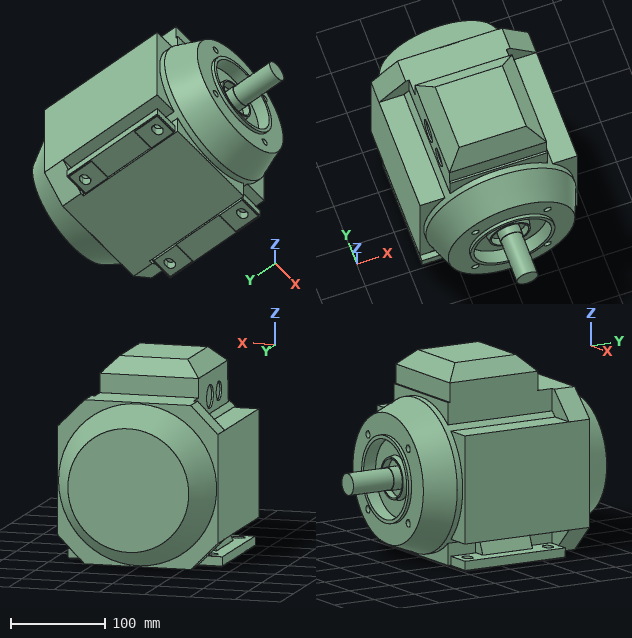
import cadquery as cq


housing_width = 177.0
housing_half = housing_width / 2
housing_length = 155.5
corner_chamfer = 29.8
corner_edge = housing_half - corner_chamfer
notch_length = 129.8
spine_half = 54.5

box_front = 2.3
box_length = 109.8
box_top = 126.5
box_chamfer = 17.0

cable_entries = [(25.3, 69.2), (20.3, 35.8)]
entry_height = 82.5
entry_depth = 2.0

fan_cover_front_radius = 87.3
fan_cover_back_radius = 66.7
back_end = 190.3

shield_radius = 84.3
shield_rim_length = 6.8
shield_face_radius = 71.2
shield_face = -40.8
spigot_radius = 95.0 / 2
spigot_face = -44.5
bore_radius = 87.0 / 2
bore_floor = -29.5

flange_hole_diameter = 8.0
flange_hole_offset = 40.5
flange_hole_depth = 11.3

hub_base_radius = 24.2
hub_face_radius = 22.8
hub_face = -36.0
hub_bore_radius = 42.0 / 2
hub_bore_floor = -28.0

total_length = 281.5
shaft_end = back_end - total_length
shaft_radius = 24.0 / 2
shoulder_radius = 25.0 / 2
shaft_end_length = 50.0

foot_inner = 56.3
foot_outer = 85.3
foot_length = 124.7
foot_front = 2.5
foot_back = foot_front + foot_length
foot_top = -78.3
foot_bottom = -housing_half
pad_bottom = -89.5
pad_length = 31.2
pad_inset = 1.5
slot_width = 9.9
slot_length = 13.5
slot_x = 70.0
slot_inset = 12.5

gusset_front = 34.0
gusset_back = 96.0
gusset_top_x = 61.0
gusset_foot_x = 69.8


def block(x_range, y_range, z_range):
    """Box spanning the three given ranges."""
    (x0, x1), (y0, y1), (z0, z1) = x_range, y_range, z_range
    return cq.Workplane("XY").box(x1 - x0, y1 - y0, z1 - z0, centered=False).translate((x0, y0, z0))


def both_sides(feature):
    """Feature together with its mirror image across the YZ plane."""
    return feature.union(feature.mirror("YZ"))


def make_housing():
    """Square housing with chamfered corners, notched along its front part."""
    housing = block((-housing_half, housing_half), (0, housing_length), (-housing_half, housing_half))
    housing = housing.edges("|Y").chamfer(corner_chamfer)
    notch_centers = [
        (side * (spine_half + housing_half / 2), level * (corner_edge + housing_half / 2))
        for side in (-1, 1)
        for level in (-1, 1)
    ]
    notches = (
        cq.Workplane("XZ")
        .pushPoints(notch_centers)
        .rect(housing_half, housing_half)
        .extrude(-notch_length)
    )
    return housing.cut(notches)


def make_terminal_box():
    """Box rising from the housing, with its four top edges chamfered."""
    box = block((-spine_half, spine_half), (box_front, box_front + box_length), (0, box_top))
    return box.faces(">Z").chamfer(box_chamfer)


def make_cable_entries():
    """Cutters for the shallow round recesses in the -X wall of the terminal box."""
    cutters = cq.Workplane("YZ")
    for diameter, y in cable_entries:
        wall = cq.Workplane("YZ", origin=(-spine_half, y, entry_height))
        cutters = cutters.add(wall.circle(diameter / 2).extrude(entry_depth))
    return cutters.combine()


def revolve_about_shaft(profile):
    """Revolve a profile of (radius, Y) points about the shaft axis."""
    return cq.Workplane("XY").polyline(profile).close().revolve(360, (0, 0, 0), (0, 1, 0))


def make_fan_cover():
    """Tapered cover behind the housing."""
    return revolve_about_shaft([
        (0, housing_length),
        (fan_cover_front_radius, housing_length),
        (fan_cover_back_radius, back_end),
        (0, back_end),
    ])


def make_drive_end():
    """Front shield with its spigot and bore, bearing hub and stepped shaft.

    The shield rim runs back through the housing and rounds the inner corners of its notches.
    """
    shoulder = shaft_end + shaft_end_length
    return revolve_about_shaft([
        (0, shaft_end),
        (shaft_radius, shaft_end),
        (shaft_radius, shoulder),
        (shoulder_radius, shoulder),
        (shoulder_radius, hub_bore_floor),
        (hub_bore_radius, hub_bore_floor),
        (hub_bore_radius, hub_face),
        (hub_face_radius, hub_face),
        (hub_base_radius, bore_floor),
        (bore_radius, bore_floor),
        (bore_radius, spigot_face),
        (spigot_radius, spigot_face),
        (spigot_radius, shield_face),
        (shield_face_radius, shield_face),
        (shield_radius, -shield_rim_length),
        (shield_radius, notch_length),
        (0, notch_length),
    ])


def make_flange_holes():
    """Cutters for the four blind holes in the shield face."""
    return (
        cq.Workplane("XZ", origin=(0, shield_face, 0))
        .rect(2 * flange_hole_offset, 2 * flange_hole_offset, forConstruction=True)
        .vertices()
        .circle(flange_hole_diameter / 2)
        .extrude(-flange_hole_depth)
    )


def make_foot():
    """Foot bar on the +X side with two pads and two slots across its length."""
    foot = block((foot_inner, foot_outer), (foot_front, foot_back), (foot_bottom, foot_top))
    pad_x = (foot_inner, foot_outer - pad_inset)
    front_pad_start = foot_front + pad_inset
    back_pad_start = foot_back - pad_inset - pad_length
    for pad_start in (front_pad_start, back_pad_start):
        foot = foot.union(block(pad_x, (pad_start, pad_start + pad_length), (pad_bottom, foot_top)))
    slots = (
        cq.Workplane("XY", origin=(0, 0, pad_bottom))
        .pushPoints([(slot_x, foot_front + slot_inset), (slot_x, foot_back - slot_inset)])
        .slot2D(slot_length, slot_width)
        .extrude(foot_top - pad_bottom)
    )
    return foot.cut(slots)


def make_gusset():
    """Sloping web on the +X side joining the housing to the top of the foot."""
    outline = [
        (0, -corner_edge),
        (gusset_top_x, -corner_edge),
        (gusset_foot_x, foot_top),
        (0, foot_top),
    ]
    return (
        cq.Workplane("XZ", origin=(0, gusset_front, 0))
        .polyline(outline)
        .close()
        .extrude(gusset_front - gusset_back)
    )


result = (
    make_housing()
    .union(make_terminal_box())
    .union(make_fan_cover())
    .union(make_drive_end())
    .union(both_sides(make_gusset()))
    .union(both_sides(make_foot()))
    .cut(make_cable_entries())
    .cut(make_flange_holes())
)